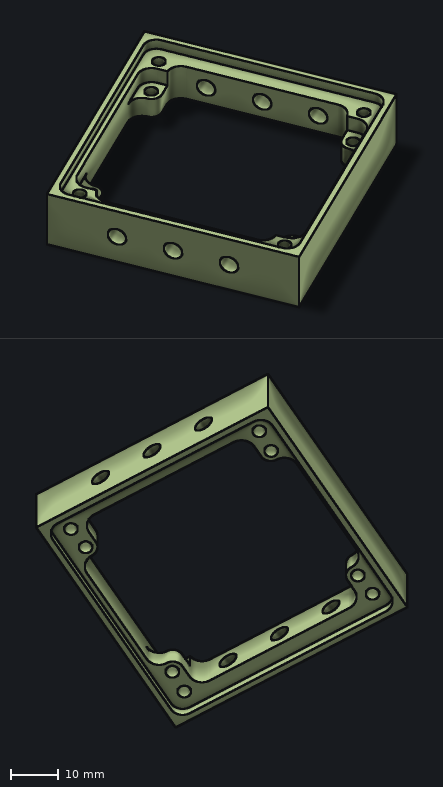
import cadquery as cq

SIDE = 57.15
HEIGHT = 13.95

RECESS_RIM = 1.5
RECESS_DEPTH = 2.5
RECESS_RADIUS = 2.9

X_WALL = 2.7
Y_WALL = 4.9
CORNER_POST = 8.25
OPENING_RADIUS = 3.15

LUG_END = 13.25
LUG_RADIUS = 2.4
LUG_FILLET = 3.1
LUG_DROP = 3.9
POCKET_EDGE = 7.7
POCKET_RADIUS = 3.2

CORNER_HOLE_DIAMETER = 2.85
CORNER_HOLE_INSET = 5.4
LUG_HOLE_DIAMETER = 2.85
LUG_HOLE_INSET_X = 5.7
LUG_HOLE_INSET_Y = 10.8

SIDE_HOLE_DIAMETER = 4.2
SIDE_HOLE_PITCH = 12.7
SIDE_HOLE_COUNT = 3

HALF = SIDE / 2
LEDGE_Z = HEIGHT - RECESS_DEPTH
LUG_TOP_Z = LEDGE_Z - LUG_DROP

SELECTION_MARGIN = 0.6


def rounded_block(size_x, size_y, height, radius, base_z):
    """Centred rectangular block with rounded vertical edges."""
    block = cq.Workplane("XY").workplane(offset=base_z).rect(size_x, size_y).extrude(height)
    return block.edges("|Z").fillet(radius)


def through_holes(inset_x, inset_y, diameter):
    """Four mirrored vertical cutters running the full height."""
    spacing_x = SIDE - 2 * inset_x
    spacing_y = SIDE - 2 * inset_y
    centres = cq.Workplane("XY").rect(spacing_x, spacing_y, forConstruction=True).vertices()
    return centres.circle(diameter / 2).extrude(HEIGHT)


def central_opening():
    """Cross-shaped opening with rounded corners that leaves a lug in each corner."""
    long_bay = rounded_block(SIDE - 2 * CORNER_POST, SIDE - 2 * Y_WALL, HEIGHT, OPENING_RADIUS, 0)
    wide_bay = rounded_block(SIDE - 2 * X_WALL, SIDE - 2 * LUG_END, HEIGHT, LUG_FILLET, 0)
    opening = long_bay.union(wide_bay)
    reach_x = HALF - CORNER_POST + SELECTION_MARGIN
    reach_y = HALF - LUG_END + SELECTION_MARGIN
    lug_corners = cq.selectors.BoxSelector((-reach_x, -reach_y, 0), (reach_x, reach_y, HEIGHT))
    return opening.edges("|Z").edges(lug_corners).fillet(LUG_RADIUS)


frame = cq.Workplane("XY").box(SIDE, SIDE, HEIGHT, centered=(True, True, False))
frame = frame.cut(central_opening())

recess_size = SIDE - 2 * RECESS_RIM
for recess_base_z in (0, LEDGE_Z):
    frame = frame.cut(rounded_block(recess_size, recess_size, RECESS_DEPTH, RECESS_RADIUS, recess_base_z))

frame = frame.cut(
    rounded_block(SIDE - 2 * X_WALL, SIDE - 2 * POCKET_EDGE, LUG_DROP, POCKET_RADIUS, LUG_TOP_Z)
)

frame = frame.cut(through_holes(CORNER_HOLE_INSET, CORNER_HOLE_INSET, CORNER_HOLE_DIAMETER))
frame = frame.cut(through_holes(LUG_HOLE_INSET_X, LUG_HOLE_INSET_Y, LUG_HOLE_DIAMETER))

side_holes = (
    cq.Workplane("XZ", origin=(0, HALF, HEIGHT / 2))
    .rarray(SIDE_HOLE_PITCH, 0.6, SIDE_HOLE_COUNT, 1)
    .circle(SIDE_HOLE_DIAMETER / 2)
    .extrude(SIDE)
)

result = frame.cut(side_holes)